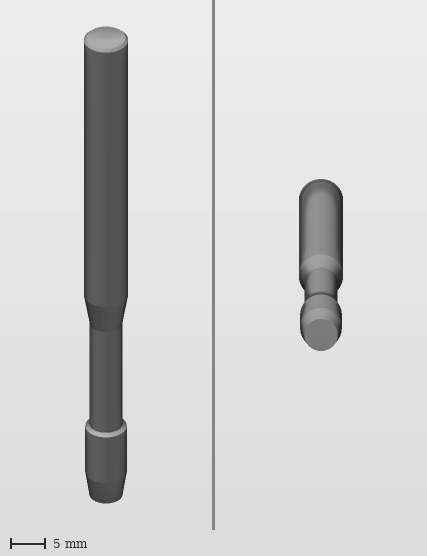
import cadquery as cq
import math

TOTAL_LENGTH = 80.0
LEAD_LENGTH = 4.0
HEAD_CYLINDER_TOP = 12.0
NECK_TOP = 30.0
SHANK_BOTTOM = 35.0

TIP_DIAMETER = 4.8
HEAD_DIAMETER = 6.0
NECK_DIAMETER = 4.7
SHANK_DIAMETER = 6.4

SHOULDER_ANGLE = 30.0
SHOULDER_WIDTH = (HEAD_DIAMETER - NECK_DIAMETER) / 2
SHOULDER_HEIGHT = SHOULDER_WIDTH * math.tan(math.radians(SHOULDER_ANGLE))
HEAD_LENGTH = HEAD_CYLINDER_TOP + SHOULDER_HEIGHT

END_CHAMFER = 0.4


def turned(stations):
    """Revolve (diameter, height) stations, listed from the bottom up, into a solid about Z."""
    bottom = stations[0][1]
    top = stations[-1][1]
    outline = [(0, bottom)]
    outline += [(diameter / 2, height) for diameter, height in stations]
    outline += [(0, top)]
    return cq.Workplane("XZ").polyline(outline).close().revolve(360, (0, 0), (0, 1))


def make_head():
    """Working head: tapered lead, cylinder, and a conical shoulder up to the neck."""
    return turned([
        (TIP_DIAMETER, 0),
        (HEAD_DIAMETER, LEAD_LENGTH),
        (HEAD_DIAMETER, HEAD_CYLINDER_TOP),
        (NECK_DIAMETER, HEAD_LENGTH),
    ])


def make_shank():
    """Holder: slim neck standing on the head, widening by a cone into the chamfered shank."""
    return turned([
        (NECK_DIAMETER, HEAD_LENGTH),
        (NECK_DIAMETER, NECK_TOP),
        (SHANK_DIAMETER, SHANK_BOTTOM),
        (SHANK_DIAMETER, TOTAL_LENGTH - END_CHAMFER),
        (SHANK_DIAMETER - 2 * END_CHAMFER, TOTAL_LENGTH),
    ])


head = make_head()
shank = make_shank()

result = cq.Compound.makeCompound([head.val(), shank.val()])